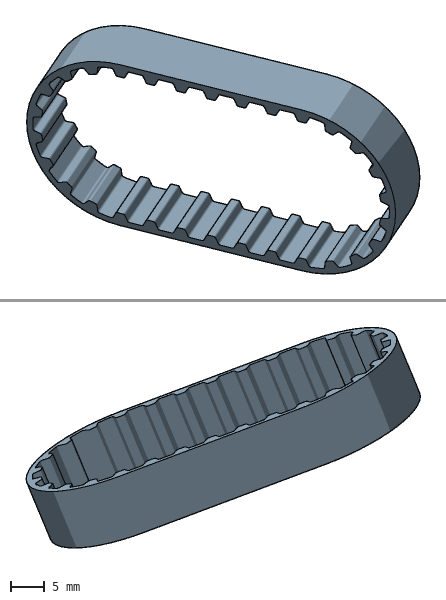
import cadquery as cq
import math

LENGTH = 59.05
HEIGHT = 30.0
WIDTH = 9.5

BAND_THICKNESS = 1.0
TOOTH_HEIGHT = 1.3
TOOTH_TIP_WIDTH = 1.3
FLANK_ANGLE = 25.0
TIP_RADIUS = 0.35
ROOT_RADIUS = 0.35

STRAIGHT_PITCHES = 6
BEND_PITCHES = 9

STRAIGHT_LENGTH = LENGTH - HEIGHT
INNER_HEIGHT = HEIGHT - 2 * BAND_THICKNESS
INNER_RADIUS = INNER_HEIGHT / 2
STRAIGHT_PITCH = STRAIGHT_LENGTH / STRAIGHT_PITCHES
BEND_PITCH_ANGLE = 180.0 / BEND_PITCHES
TOOTH_ROOT_DEPTH = BAND_THICKNESS / 2
MATCH_TOLERANCE = 0.005


def stadium(height):
    """Solid loop shape of the given outer height, across the full belt width."""
    return (
        cq.Workplane("XZ")
        .slot2D(STRAIGHT_LENGTH + height, height)
        .extrude(WIDTH / 2, both=True)
    )


def upright_tooth():
    """Trapezoidal tooth pointing down from the top of a bend centred on the origin."""
    tip_z = INNER_RADIUS - TOOTH_HEIGHT
    root_z = INNER_RADIUS + TOOTH_ROOT_DEPTH
    half_tip = TOOTH_TIP_WIDTH / 2
    half_root = half_tip + (root_z - tip_z) * math.tan(math.radians(FLANK_ANGLE))
    outline = [(-half_root, root_z), (-half_tip, tip_z), (half_tip, tip_z), (half_root, root_z)]
    return (
        cq.Workplane("XZ")
        .polyline(outline)
        .close()
        .extrude(WIDTH / 2, both=True)
        .edges("|Y and <Z")
        .fillet(TIP_RADIUS)
    )


def all_teeth():
    """Teeth on both straight runs and around both bends."""
    tooth = upright_tooth()
    teeth = cq.Workplane("XZ")

    def add_tooth(x, angle):
        """Turn the tooth about Y by the given angle, then move it along X."""
        teeth.add(tooth.rotate((0, 0, 0), (0, 1, 0), angle).translate((x, 0, 0)))

    for i in range(STRAIGHT_PITCHES + 1):
        x = -STRAIGHT_LENGTH / 2 + i * STRAIGHT_PITCH
        add_tooth(x, 0)
        add_tooth(x, 180)
    for i in range(1, BEND_PITCHES):
        angle = i * BEND_PITCH_ANGLE
        add_tooth(STRAIGHT_LENGTH / 2, angle)
        add_tooth(-STRAIGHT_LENGTH / 2, -angle)
    return teeth.combine()


def is_tooth_root(edge):
    """True for an edge that lies on the inner band face, where a tooth flank meets it."""
    centre = edge.Center()
    beyond_straight = max(abs(centre.x) - STRAIGHT_LENGTH / 2, 0)
    distance = math.hypot(beyond_straight, centre.z)
    return abs(distance - INNER_RADIUS) < MATCH_TOLERANCE


belt = stadium(HEIGHT).cut(stadium(INNER_HEIGHT)).union(all_teeth())

result = belt.edges("|Y").filter(is_tooth_root).fillet(ROOT_RADIUS)